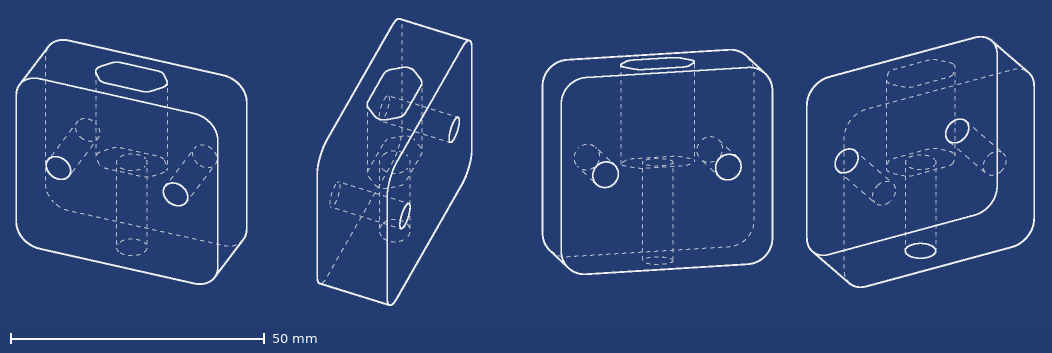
import cadquery as cq

WIDTH = 43.0
THICKNESS = 15.0
HEIGHT = 40.0
CORNER_RADIUS = 5.05

MOUNT_HOLE_DIAMETER = 5.2
MOUNT_HOLE_SPACING = 25.0

POCKET_WIDTH = 8.0
POCKET_TIP_SPAN = 16.0
POCKET_FLAT_LENGTH = 9.98
POCKET_CORNER_RADIUS = 2.15
POCKET_DEPTH = HEIGHT / 2
BORE_DIAMETER = 6.0


def make_block():
    block = cq.Workplane("XY").box(WIDTH, THICKNESS, HEIGHT)
    return block.edges("|Y").fillet(CORNER_RADIUS)


def make_mounting_holes():
    half_spacing = MOUNT_HOLE_SPACING / 2
    return (
        cq.Workplane("XZ")
        .pushPoints([(-half_spacing, 0), (half_spacing, 0)])
        .circle(MOUNT_HOLE_DIAMETER / 2)
        .extrude(THICKNESS / 2, both=True)
    )


def make_pocket():
    tip = POCKET_TIP_SPAN / 2
    flat = POCKET_FLAT_LENGTH / 2
    side = POCKET_WIDTH / 2
    outline = [(tip, 0), (flat, side), (-flat, side), (-tip, 0), (-flat, -side), (flat, -side)]
    return (
        cq.Workplane("XY")
        .workplane(offset=HEIGHT / 2)
        .polyline(outline)
        .close()
        .extrude(-POCKET_DEPTH)
        .edges("|Z")
        .fillet(POCKET_CORNER_RADIUS)
    )


def make_bore():
    return cq.Workplane("XY").circle(BORE_DIAMETER / 2).extrude(HEIGHT / 2, both=True)


result = make_block().cut(make_mounting_holes()).cut(make_pocket()).cut(make_bore())